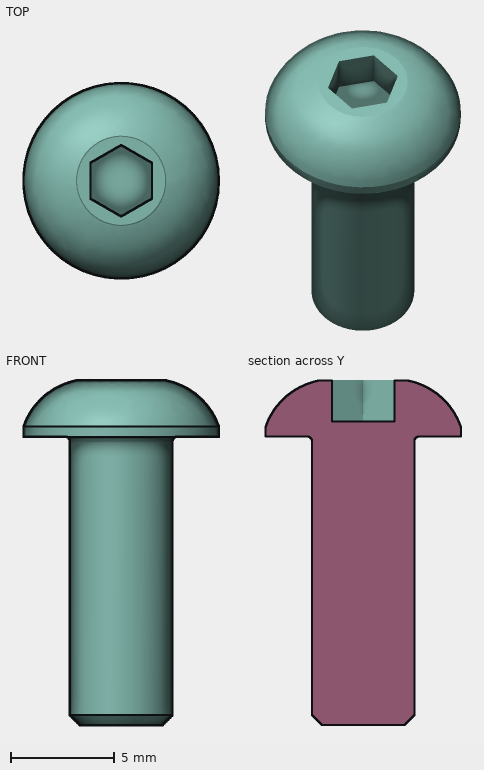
import cadquery as cq
import math

shank_diameter = 5.0
shank_length = 14.0
tip_chamfer = 0.5
head_diameter = 9.5
head_height = 2.75
rim_height = 0.5
top_flat_diameter = 4.33
dome_radius = 3.46
neck_fillet = 0.2
socket_across_flats = 3.0
socket_depth = 2.0

shank_radius = shank_diameter / 2
head_radius = head_diameter / 2
top_flat_radius = top_flat_diameter / 2
socket_across_corners = socket_across_flats / math.cos(math.pi / 6)


def make_body():
    """Shank and domed head, revolved about Z from one half profile."""
    return (
        cq.Workplane("XZ")
        .moveTo(0, -shank_length)
        .lineTo(shank_radius - tip_chamfer, -shank_length)
        .lineTo(shank_radius, -shank_length + tip_chamfer)
        .lineTo(shank_radius, -neck_fillet)
        .radiusArc((shank_radius + neck_fillet, 0), neck_fillet)
        .lineTo(head_radius, 0)
        .lineTo(head_radius, rim_height)
        .radiusArc((top_flat_radius, head_height), -dome_radius)
        .lineTo(0, head_height)
        .close()
        .revolve(360, (0, 0, 0), (0, 1, 0))
    )


def make_socket():
    """Hexagonal socket with two corners on the Y axis."""
    return (
        cq.Workplane("XY")
        .workplane(offset=head_height - socket_depth)
        .transformed(rotate=(0, 0, 90))
        .polygon(6, socket_across_corners)
        .extrude(socket_depth)
    )


result = make_body().cut(make_socket())